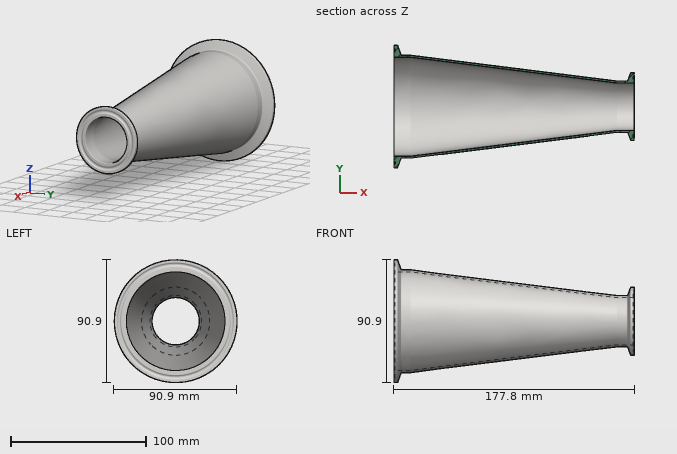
import cadquery as cq
import math

length = 177.8
end_length = 12.7
wall = 1.65

large_tube_radius = 76.2 / 2
large_flange_radius = 90.91 / 2
small_tube_radius = 38.1 / 2
small_flange_radius = 50.39 / 2

rim_width = 2.85
back_angle = 20.0
rim_round = 0.5
root_fillet = 0.9
bore_round = 0.4

groove_inset = 3.8
groove_radius = 1.5
groove_depth = 0.95
groove_lip_round = 0.7


def bore_radius(tube_radius):
    return tube_radius - wall


def revolve_about_x(profile):
    return profile.revolve(360, (0, 0, 0), (1, 0, 0))


def lip_round_points():
    """Points on a lip round: where it meets the face, its middle, where it meets the groove arc.

    Each is (depth below the face, radial distance from the middle of the groove).
    """
    centre_spacing = groove_radius + groove_lip_round
    depth_spacing = centre_spacing - groove_depth
    radial_spacing = math.sqrt(centre_spacing**2 - depth_spacing**2)
    lean = math.atan2(radial_spacing, depth_spacing)

    def on_lip(angle):
        depth = groove_lip_round * (1 - math.cos(angle))
        offset = radial_spacing - groove_lip_round * math.sin(angle)
        return depth, offset

    return on_lip(0), on_lip(lean / 2), on_lip(lean)


def ferrule(tube_radius, flange_radius):
    """Hollow ferrule with its face at X = 0 and its tube stub along +X."""
    bore = bore_radius(tube_radius)
    back_end = rim_width + (flange_radius - tube_radius) * math.tan(math.radians(back_angle))
    groove_middle = flange_radius - groove_inset

    lip_offsets = lip_round_points()
    inner_lip = [(depth, groove_middle - offset) for depth, offset in lip_offsets]
    outer_lip = [(depth, groove_middle + offset) for depth, offset in reversed(lip_offsets)]
    groove_bottom = (groove_depth, groove_middle)

    bore_mouth = (0, bore)
    rim_front = (0, flange_radius)
    rim_back = (rim_width, flange_radius)
    root = (back_end, tube_radius)
    tube_outside = (end_length, tube_radius)
    tube_inside = (end_length, bore)

    section = (
        cq.Sketch()
        .segment(bore_mouth, inner_lip[0])
        .arc(*inner_lip)
        .arc(inner_lip[-1], groove_bottom, outer_lip[0])
        .arc(*outer_lip)
        .segment(outer_lip[-1], rim_front)
        .segment(rim_front, rim_back)
        .segment(rim_back, root)
        .segment(root, tube_outside)
        .segment(tube_outside, tube_inside)
        .segment(tube_inside, bore_mouth)
        .assemble()
    )
    corner_rounds = [
        (bore_mouth, bore_round),
        (rim_front, rim_round),
        (rim_back, rim_round),
        (root, root_fillet),
    ]
    for (x, radius), rounding in corner_rounds:
        corner = cq.NearestToPointSelector((x, radius, 0))
        section = section.reset().vertices(corner).fillet(rounding)
    return revolve_about_x(cq.Workplane("XY").placeSketch(section.reset()))


def cone():
    """Hollow taper joining the two straight ends."""
    cone_end = length - end_length
    profile = (
        cq.Workplane("XY")
        .moveTo(end_length, bore_radius(large_tube_radius))
        .lineTo(end_length, large_tube_radius)
        .lineTo(cone_end, small_tube_radius)
        .lineTo(cone_end, bore_radius(small_tube_radius))
        .close()
    )
    return revolve_about_x(profile)


large_end = ferrule(large_tube_radius, large_flange_radius)
small_end = (
    ferrule(small_tube_radius, small_flange_radius)
    .mirror("YZ")
    .translate((length, 0, 0))
)
result = large_end.union(cone()).union(small_end)